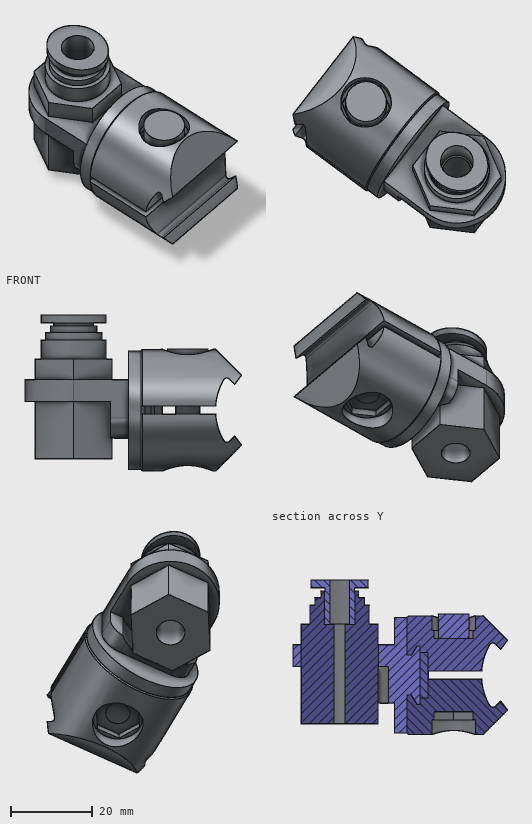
import cadquery as cq
import math


PLATE_R = 12.0
PLATE_TOP = 7.55
PLATE_BOTTOM = 2.1
LEG_X = 9.0
LEG_BOTTOM = -6.95
LEG_CORNER_R = 5.0
LEG_RELIEF_R = 12.4
DISC_X = 13.45
DISC_R = 14.65
DISC_THICK = 3.15
NECK_R = 6.0
NECK_LENGTH = 1.0
CONE_LENGTH = 1.4
CONE_SLOPE_DEG = 55
RIM_R = NECK_R + CONE_LENGTH * math.tan(math.radians(CONE_SLOPE_DEG))
RIM_LENGTH = 0.9
CAP_FLATS = 13.05
CAP_LENGTH = 1.9

FITTING_FLATS = 19.0
FITTING_BOTTOM = -12.0
HEX_TOP = 12.55
COLLAR_STEPS = [(16.0, 17.25), (14.0, 19.1), (11.45, 20.75)]
FITTING_BORE_D = 7.05
SLEEVE_D = 9.8
SLEEVE_BORE_D = 8.0
SLEEVE_FLANGE_BOTTOM = 21.5
SLEEVE_TOP = 23.5
SLEEVE_FLANGE_X = 16.0
SLEEVE_FLANGE_Y = 14.0

JAW_R = 15.0
JAW_CHAMFER = 0.3
JAW_GAP = 2.0
JAW_TURNS = (0, 180)
JAW_X = DISC_X + DISC_THICK
JAW_END_X = 41.4
PIPE_R = 15.0
PIPE_X = 50.0
LIP_INNER_X = 39.7
LIP_INNER_Z = 6.35
THROAT_FILLET_R = 0.9

SCREW_X = 28.1
SCREW_D = 6.0
HEAD_D = 10.05
HEAD_TOP = 15.1
SEAT_D = 12.45
SEAT_Z = 11.0
HEX_SEAT_FLATS = 10.4
HEX_SEAT_Z = 9.1

HEX_CORNERS_PER_FLATS = 1 / math.cos(math.radians(30))

HUB_END_X = JAW_X + NECK_LENGTH + CONE_LENGTH + RIM_LENGTH


def cylinder(diameter, bottom, top, x=0.0):
    """Upright cylinder between two heights."""
    return cq.Workplane("XY", origin=(x, 0, bottom)).circle(diameter / 2).extrude(top - bottom)


def hex_prism(flats, bottom, top, x=0.0):
    """Upright hexagonal prism with corners toward +Y and -Y."""
    return (
        cq.Workplane("XY", origin=(x, 0, bottom))
        .transformed(rotate=(0, 0, 30))
        .polygon(6, flats * HEX_CORNERS_PER_FLATS)
        .extrude(top - bottom)
    )


def make_hub():
    """Pivot hub: a neck that flares out to a retaining rim, turned about X."""
    cone_x = JAW_X + NECK_LENGTH
    rim_x = cone_x + CONE_LENGTH
    outline = [
        (JAW_X, 0),
        (JAW_X, NECK_R),
        (cone_x, NECK_R),
        (rim_x, RIM_R),
        (HUB_END_X, RIM_R),
        (HUB_END_X, 0),
    ]
    return cq.Workplane("XZ").polyline(outline).close().revolve(360, (0, 0), (1, 0))


def make_hub_cap():
    """Hexagonal cap on the end of the hub, with flats toward +Y and -Y."""
    return (
        cq.Workplane("YZ", origin=(HUB_END_X, 0, 0))
        .transformed(rotate=(0, 0, 30))
        .polygon(6, CAP_FLATS * HEX_CORNERS_PER_FLATS)
        .extrude(CAP_LENGTH)
    )


def make_bracket():
    """Plate around the fitting, leg down to the pivot disc, and the hub."""
    thickness = PLATE_TOP - PLATE_BOTTOM
    plate = cylinder(2 * PLATE_R, PLATE_BOTTOM, PLATE_TOP).union(
        cq.Workplane("XY")
        .box(DISC_X, 2 * PLATE_R, thickness, centered=(False, True, False))
        .translate((0, 0, PLATE_BOTTOM))
    )
    leg = (
        cq.Workplane("XY")
        .box(DISC_X - LEG_X, 2 * PLATE_R, PLATE_TOP - LEG_BOTTOM, centered=(False, True, False))
        .translate((LEG_X, 0, LEG_BOTTOM))
        .edges("|X and <Z")
        .fillet(LEG_CORNER_R)
        .cut(cylinder(2 * LEG_RELIEF_R, LEG_BOTTOM, PLATE_BOTTOM))
    )
    disc = cq.Workplane("YZ", origin=(DISC_X, 0, 0)).circle(DISC_R).extrude(DISC_THICK)
    body = plate.union(leg).union(disc).union(make_hub())
    return body.cut(hex_prism(FITTING_FLATS, PLATE_BOTTOM, PLATE_TOP))


def make_fitting():
    """Hexagonal body with a stepped collar, a through bore and a sleeve seat."""
    body = hex_prism(FITTING_FLATS, FITTING_BOTTOM, HEX_TOP)
    bottom = HEX_TOP
    for diameter, top in COLLAR_STEPS:
        body = body.union(cylinder(diameter, bottom, top))
        bottom = top
    body = body.cut(cylinder(FITTING_BORE_D, FITTING_BOTTOM, bottom))
    return body.cut(cylinder(SLEEVE_D, HEX_TOP, bottom))


def make_sleeve():
    """Release sleeve: a round tube with an oval flange on top."""
    flange = (
        cq.Workplane("XY", origin=(0, 0, SLEEVE_FLANGE_BOTTOM))
        .ellipse(SLEEVE_FLANGE_X / 2, SLEEVE_FLANGE_Y / 2)
        .extrude(SLEEVE_TOP - SLEEVE_FLANGE_BOTTOM)
    )
    tube = cylinder(SLEEVE_D, HEX_TOP, SLEEVE_FLANGE_BOTTOM)
    return tube.union(flange).cut(cylinder(SLEEVE_BORE_D, HEX_TOP, SLEEVE_TOP))


def make_jaw_profile():
    """Side outline of the upper jaw, extruded across the full width."""
    gap_z = JAW_GAP / 2

    def pipe_point(z):
        return (PIPE_X - math.sqrt(PIPE_R**2 - z**2), z)

    lip_sum = LIP_INNER_X + LIP_INNER_Z
    offset = lip_sum - PIPE_X
    throat_z = (offset + math.sqrt(2 * PIPE_R**2 - offset**2)) / 2
    throat = (lip_sum - throat_z, throat_z)

    slope_x = PIPE_X - PIPE_R
    lip_outer_z = JAW_R - (JAW_END_X - slope_x)
    profile = (
        cq.Workplane("XZ", origin=(0, JAW_R, 0))
        .moveTo(JAW_X, gap_z)
        .lineTo(JAW_X, JAW_R)
        .lineTo(slope_x, JAW_R)
        .lineTo(JAW_END_X, lip_outer_z)
        .lineTo(LIP_INNER_X, LIP_INNER_Z)
        .lineTo(*throat)
        .threePointArc(pipe_point((gap_z + throat_z) / 2), pipe_point(gap_z))
        .close()
        .extrude(2 * JAW_R)
    )
    throat_edge = cq.selectors.NearestToPointSelector((throat[0], 0, throat[1]))
    return profile.edges("|Y").edges(throat_edge).fillet(THROAT_FILLET_R)


def make_jaw(turn):
    """Half of a round clamp with pipe throat, hub recess and screw seats, turned about X."""
    barrel = (
        cq.Workplane("YZ", origin=(JAW_X, 0, 0))
        .circle(JAW_R)
        .extrude(JAW_END_X - JAW_X)
        .faces("<X")
        .chamfer(JAW_CHAMFER)
    )
    jaw = barrel.intersect(make_jaw_profile())
    jaw = jaw.cut(make_hub()).cut(make_hub_cap())
    jaw = jaw.cut(cylinder(SCREW_D, 0, JAW_R, SCREW_X))
    jaw = jaw.cut(hex_prism(HEX_SEAT_FLATS, HEX_SEAT_Z, JAW_R, SCREW_X))
    jaw = jaw.cut(cylinder(SEAT_D, SEAT_Z, JAW_R, SCREW_X))
    return jaw.rotate((0, 0, 0), (1, 0, 0), turn)


def make_screw():
    """Clamp screw: a round head in the upper jaw and a shank through both jaws."""
    shank = cylinder(SCREW_D, -HEX_SEAT_Z, HEX_SEAT_Z, SCREW_X)
    return shank.union(cylinder(HEAD_D, HEX_SEAT_Z, HEAD_TOP, SCREW_X))


bracket = make_bracket()
hub_cap = make_hub_cap()
fitting = make_fitting()
sleeve = make_sleeve()
jaws = [make_jaw(turn) for turn in JAW_TURNS]
screw = make_screw()

result = cq.Compound.makeCompound(
    [
        bracket.val(),
        hub_cap.val(),
        fitting.val(),
        sleeve.val(),
        *[jaw.val() for jaw in jaws],
        screw.val(),
    ]
)